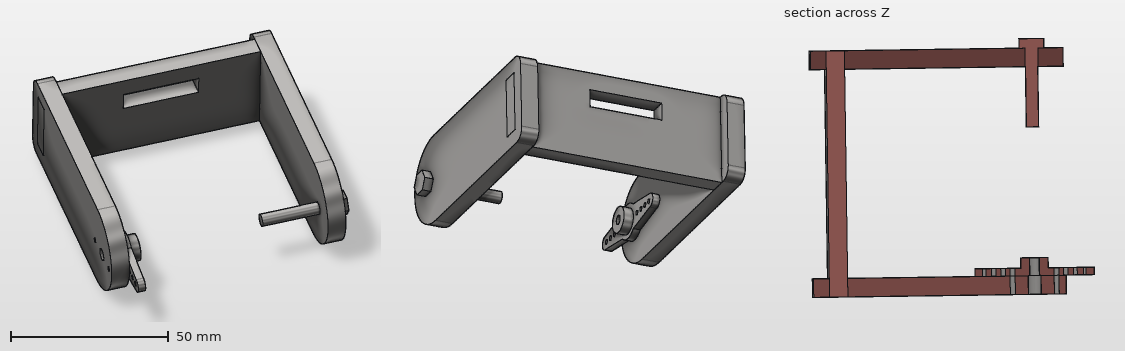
import cadquery as cq
import math

PITCH = 2.37
YAW = 0.82

BOARD = 6.0
HEIGHT = 30.0
INNER_SPAN = 66.1

ARM_LENGTH = 80.0
CORNER_RADIUS = 4.0
PIVOT_FROM_TIP = 10.0
PIVOT_BORE = 4.0
PILOT_BORE = 1.5
PIVOT_X = ARM_LENGTH - PIVOT_FROM_TIP

PLATE_X = 5.0
TENON_HEIGHT = 20.0
SLOT_LENGTH = 25.0
SLOT_HEIGHT = 6.0
SLOT_FROM_TOP = 6.0

HEAD_FLATS = 7.0
HEAD_HEIGHT = 3.0
SHANK_LENGTH = 25.0

HORN_REACH = 19.0
HORN_THICKNESS = 2.4
HORN_DISC_RADIUS = 6.0
HORN_ROOT_HALF_WIDTH = 5.0
HORN_TIP_RADIUS = 2.35
HUB_DIAMETER = 8.8
HUB_HEIGHT = 3.25
HORN_BORE = 3.0
HORN_HOLE = 1.5
FIRST_HOLE = 7.0
HOLE_PITCH = 3.0
HOLES_PER_BLADE = 4

ARM_OFFSET = (INNER_SPAN + BOARD) / 2


def rod(diameter, y_start, length, x=PIVOT_X):
    """Round bar along Y at height zero, growing toward +Y."""
    return cq.Workplane("XZ", origin=(x, y_start, 0)).circle(diameter / 2).extrude(-length)


def block(x_start, length_x, length_y, height, z=0.0):
    """Box centred on Y = 0 that starts at x_start."""
    return cq.Workplane("XY").box(length_x, length_y, height).translate((x_start + length_x / 2, 0, z))


def make_plate():
    """Cross plate with a tenon through each arm and a finger slot."""
    body = block(PLATE_X, BOARD, INNER_SPAN, HEIGHT)
    tenons = block(PLATE_X, BOARD, INNER_SPAN + 2 * BOARD, TENON_HEIGHT)
    slot_z = HEIGHT / 2 - SLOT_FROM_TOP - SLOT_HEIGHT / 2
    slot = block(PLATE_X, BOARD, SLOT_LENGTH, SLOT_HEIGHT, slot_z)
    return body.union(tenons).cut(slot)


def make_arm(side):
    """Arm with a round nose; side is -1 for the horn arm and +1 for the bolt arm."""
    middle_y = side * ARM_OFFSET
    arm = block(0, ARM_LENGTH, BOARD, HEIGHT).edges("|Y and <X").fillet(CORNER_RADIUS)
    nose_x = ARM_LENGTH - HEIGHT / 2
    nose = cq.Workplane("XZ", origin=(nose_x, BOARD / 2, 0)).circle(HEIGHT / 2).extrude(BOARD)
    arm = arm.cut(block(nose_x, HEIGHT, BOARD, HEIGHT)).union(nose)
    arm = arm.cut(block(PLATE_X, BOARD, BOARD, TENON_HEIGHT))
    arm = arm.cut(rod(PIVOT_BORE, -BOARD / 2, BOARD))
    if side < 0:
        for x in (PIVOT_X - FIRST_HOLE, PIVOT_X + FIRST_HOLE):
            arm = arm.cut(rod(PILOT_BORE, -BOARD / 2, BOARD, x))
    return arm.translate((0, middle_y, 0))


def make_bolt():
    """Hex bolt seated on the outer face of the bolt arm, pointing inward."""
    seat_y = INNER_SPAN / 2 + BOARD
    shank = rod(PIVOT_BORE, seat_y - SHANK_LENGTH, SHANK_LENGTH)
    head_corners = HEAD_FLATS / math.cos(math.pi / 6)
    head = (
        cq.Workplane("XZ", origin=(PIVOT_X, seat_y, 0))
        .polygon(6, head_corners)
        .extrude(-HEAD_HEIGHT)
    )
    return shank.union(head)


def make_horn():
    """Two-bladed servo horn lying on the inner face of the horn arm."""
    seat_y = -INNER_SPAN / 2
    tip_x = HORN_REACH - HORN_TIP_RADIUS
    blade = (
        cq.Workplane("XZ", origin=(PIVOT_X, seat_y, 0))
        .moveTo(0, HORN_ROOT_HALF_WIDTH)
        .lineTo(tip_x, HORN_TIP_RADIUS)
        .threePointArc((HORN_REACH, 0), (tip_x, -HORN_TIP_RADIUS))
        .lineTo(0, -HORN_ROOT_HALF_WIDTH)
        .lineTo(-tip_x, -HORN_TIP_RADIUS)
        .threePointArc((-HORN_REACH, 0), (-tip_x, HORN_TIP_RADIUS))
        .close()
        .extrude(-HORN_THICKNESS)
    )
    disc = rod(2 * HORN_DISC_RADIUS, seat_y, HORN_THICKNESS)
    hub_y = seat_y + HORN_THICKNESS
    horn = blade.union(disc).union(rod(HUB_DIAMETER, hub_y, HUB_HEIGHT))
    horn = horn.cut(rod(HORN_BORE, seat_y, HORN_THICKNESS + HUB_HEIGHT))
    for index in range(HOLES_PER_BLADE):
        for side in (-1, 1):
            x = PIVOT_X + side * (FIRST_HOLE + index * HOLE_PITCH)
            horn = horn.cut(rod(HORN_HOLE, seat_y, HORN_THICKNESS, x))
    return horn


def place(body):
    """Tilt a body with the whole assembly."""
    return body.rotate((0, 0, 0), (0, 1, 0), PITCH).rotate((0, 0, 0), (0, 0, 1), YAW)


plate = place(make_plate())
arms = [place(make_arm(side)) for side in (-1, 1)]
bolt = place(make_bolt())
horn = place(make_horn())

result = cq.Compound.makeCompound([plate.val(), *[arm.val() for arm in arms], bolt.val(), horn.val()])